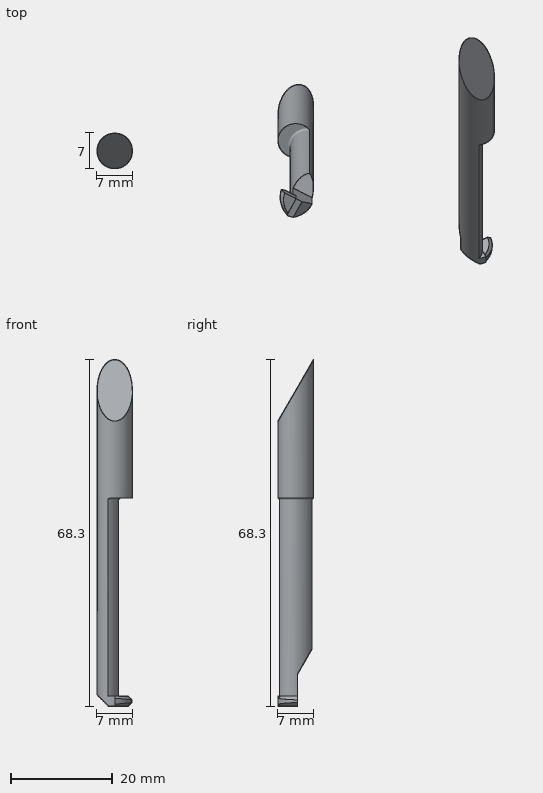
import cadquery as cq
import math


bar_radius = 3.5
bar_length = 68.31
bevel_angle = 60.0

neck_top = 41.0
neck_shift = 2.72
neck_fillet = 0.4

head_height = 2.0
rake_y = 0.35
rake_top = 6.3
corner_size = 2.3

seat_x = 0.1
tip_center = (-1.5, 1.2)
tip_radius = math.hypot(seat_x - tip_center[0], bar_radius + tip_center[1])
flank_center = (-1.9, 1.1)
flank_radius = 4.6

slope = math.tan(math.radians(bevel_angle))
margin = 1.0


def side_prism(points):
    """Prism along X across the whole bar, from (y, z) points."""
    reach = bar_radius + margin
    return cq.Workplane("YZ").polyline(points).close().extrude(reach, both=True)


def upper_bevel():
    far = bar_radius + margin
    drop = slope * (bar_radius + far)
    rise = slope * margin
    return side_prism([(-far, bar_length - drop), (far, bar_length + rise), (-far, bar_length + rise)])


def neck_relief():
    """Everything beside the neck, from the head up to the shank."""
    height = neck_top - head_height
    reach = bar_radius + margin
    space = cq.Workplane("XY").workplane(offset=head_height).rect(2 * reach, 2 * reach).extrude(height)
    core = (
        cq.Workplane("XY").workplane(offset=head_height)
        .center(-neck_shift, 0).circle(bar_radius).extrude(height)
    )
    root = cq.selectors.BoxSelector(
        (-reach, -reach, neck_top - margin / 2), (reach, reach, neck_top + margin / 2)
    )
    return space.cut(core).edges(root).edges("%CIRCLE").fillet(neck_fillet)


def back_relief():
    far = bar_radius + margin
    return side_prism([
        (rake_y, -margin),
        (rake_y, rake_top),
        (far, rake_top + slope * (far - rake_y)),
        (far, -margin),
    ])


def tip_pocket():
    """Space on the +X side of the seat plane, below the neck."""
    reach = bar_radius + margin
    return (
        cq.Workplane("XY")
        .box(reach, 2 * reach, head_height, centered=(False, True, False))
        .translate((seat_x, 0, 0))
    )


def corner_chamfer():
    reach = bar_radius + margin
    return (
        cq.Workplane("XZ")
        .polyline([
            (-reach, corner_size + margin),
            (corner_size + margin - bar_radius, -margin),
            (-reach, -margin),
        ])
        .close().extrude(reach, both=True)
    )


def make_holder():
    bar = cq.Workplane("XY").circle(bar_radius).extrude(bar_length)
    for cutter in (upper_bevel(), neck_relief(), back_relief(), tip_pocket(), corner_chamfer()):
        bar = bar.cut(cutter)
    return bar


def make_tip():
    body = cq.Workplane("XY").center(*tip_center).circle(tip_radius).extrude(head_height)
    block_side = 2 * bar_radius
    block = (
        cq.Workplane("XY")
        .box(block_side, block_side, head_height, centered=False)
        .translate((seat_x, rake_y - block_side, 0))
    )
    half = head_height / 2
    flanks = (
        cq.Workplane("XZ")
        .polyline([
            (0, 0),
            (flank_radius, 0),
            (flank_radius + half, half),
            (flank_radius, head_height),
            (0, head_height),
        ])
        .close().revolve(360, (0, 0, 0), (0, 1, 0))
        .translate((flank_center[0], flank_center[1], 0))
    )
    return body.intersect(block).intersect(flanks)


holder = make_holder()
tip = make_tip()
result = cq.Compound.makeCompound([holder.val(), tip.val()])